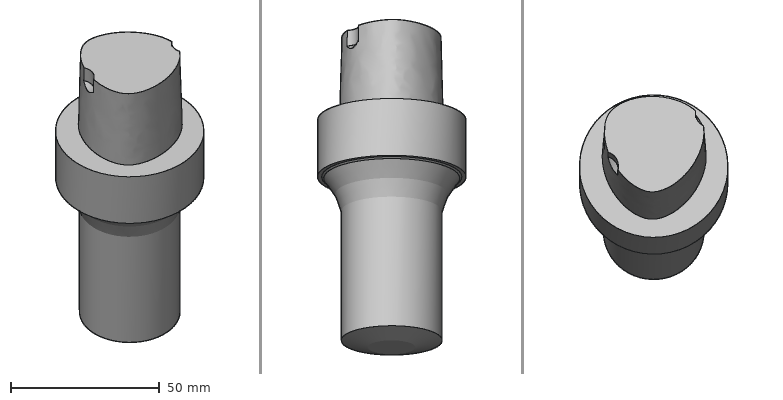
import cadquery as cq
import math

shank_length = 30.0
shank_base_width = 35.0
shank_taper = 1 / 20
shank_end_width = shank_base_width - shank_taper * shank_length
shank_eccentricity = 1.12
lobe_count = 3
lobe_direction = 90.0
section_points = 36

notch_radius = 5.0
notch_depth = 5.5
notch_flat_side_inner = -14.0
notch_lobe_side_inner = 16.4
notch_cone_slope = 1.0

flange_radius = 49.98 / 2
flange_bottom = -20.0
collar_top_radius = 23.6
collar_radius = 22.9
collar_bottom = -20.5
neck_radius = 19.0
neck_bottom = -26.2
bar_radius = 34.0 / 2
bar_top = -32.2
bar_bottom = -77.5
end_face_radius = 8.0
end_face = -80.0


def shank_section(width):
    """Closed curve whose tangents lie width/2 + eccentricity * cos(lobe_count * angle) from the axis."""

    def curve_point(t):
        turn = 2 * math.pi * t
        support = width / 2 + shank_eccentricity * math.cos(lobe_count * turn)
        support_rate = -lobe_count * shank_eccentricity * math.sin(lobe_count * turn)
        angle = turn + math.radians(lobe_direction)
        return (
            support * math.cos(angle) - support_rate * math.sin(angle),
            support * math.sin(angle) + support_rate * math.cos(angle),
        )

    points = [cq.Vector(*curve_point(i / section_points)) for i in range(section_points)]
    edge = cq.Edge.makeSpline(points, periodic=True)
    return cq.Wire.assembleEdges([edge])


def make_shank():
    base = shank_section(shank_base_width)
    end = shank_section(shank_end_width).translate(cq.Vector(0, 0, shank_length))
    return cq.Workplane(obj=cq.Solid.makeLoft([base, end], True))


def turn_about_z(profile):
    """Revolve a closed profile of (radius, height) points about the Z axis."""
    return cq.Workplane("XZ").polyline(profile).close().revolve(360, (0, 0, 0), (0, 1, 0))


def make_body():
    """Flange, flared collar, two blending cones, round bar and conical end, turned about Z."""
    profile = [
        (0, 0),
        (flange_radius, 0),
        (flange_radius, flange_bottom),
        (collar_top_radius, flange_bottom),
        (collar_radius, collar_bottom),
        (neck_radius, neck_bottom),
        (bar_radius, bar_top),
        (bar_radius, bar_bottom),
        (end_face_radius, end_face),
        (0, end_face),
    ]
    return turn_about_z(profile)


def make_notch(center_y):
    """Drill-shaped cutter: a vertical cylinder with a conical tip."""
    cone_start = shank_length - notch_depth
    cone_tip = cone_start - notch_cone_slope * notch_radius
    profile = [
        (0, shank_length),
        (notch_radius, shank_length),
        (notch_radius, cone_start),
        (0, cone_tip),
    ]
    return turn_about_z(profile).translate((0, center_y, 0))


result = make_body().union(make_shank())
for notch_y in (notch_flat_side_inner - notch_radius, notch_lobe_side_inner + notch_radius):
    result = result.cut(make_notch(notch_y))